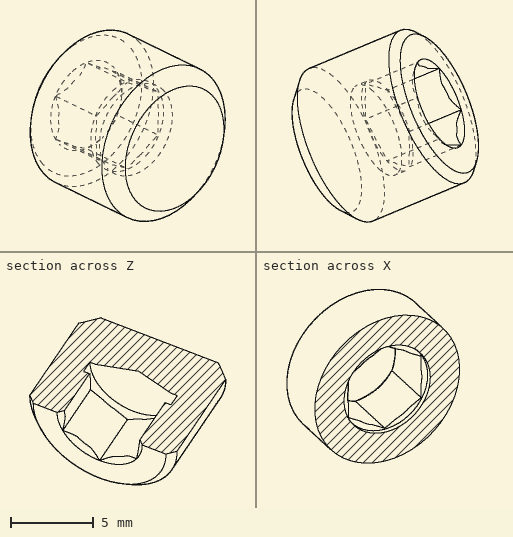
import cadquery as cq
import math

diameter = 10.0
length = 8.0
socket_chamfer = 0.5
tip_chamfer = 1.0

hex_across_flats = 5.0
hex_across_corners = hex_across_flats / math.cos(math.radians(30))
hex_depth = 3.7
relief_diameter = 5.9
relief_length = 0.8
socket_depth = hex_depth + relief_length
drill_diameter = 5.1
drill_cone_angle = 150.0
mouth_diameter = hex_across_corners
mouth_cone_angle = 90.0


def make_body():
    """Cylinder with a small chamfer at the socket end and a larger one at the tip."""
    body = cq.Workplane("YZ").circle(diameter / 2).extrude(length)
    body = body.faces("<X").chamfer(socket_chamfer)
    return body.faces(">X").chamfer(tip_chamfer)


def make_hexagon():
    """Hexagon prism with one corner pointing up along Z."""
    return (
        cq.Workplane("YZ")
        .transformed(rotate=(0, 0, 90))
        .polygon(6, hex_across_corners)
        .extrude(hex_depth)
    )


def make_drill_and_mouth():
    """Revolved cut: conical mouth, round pilot hole and pointed drill bottom."""
    mouth_radius = mouth_diameter / 2
    drill_radius = drill_diameter / 2
    mouth_depth = (mouth_radius - drill_radius) / math.tan(math.radians(mouth_cone_angle / 2))
    point_depth = drill_radius / math.tan(math.radians(drill_cone_angle / 2))
    return (
        cq.Workplane("XY")
        .moveTo(0, 0)
        .lineTo(0, mouth_radius)
        .lineTo(mouth_depth, drill_radius)
        .lineTo(socket_depth, drill_radius)
        .lineTo(socket_depth + point_depth, 0)
        .close()
        .revolve(360, (0, 0, 0), (1, 0, 0))
    )


def make_relief():
    """Round relief at the inner end of the hexagon, slightly wider than its corners."""
    return (
        cq.Workplane("YZ")
        .workplane(offset=hex_depth)
        .circle(relief_diameter / 2)
        .extrude(relief_length)
    )


result = make_body().cut(make_hexagon()).cut(make_drill_and_mouth()).cut(make_relief())